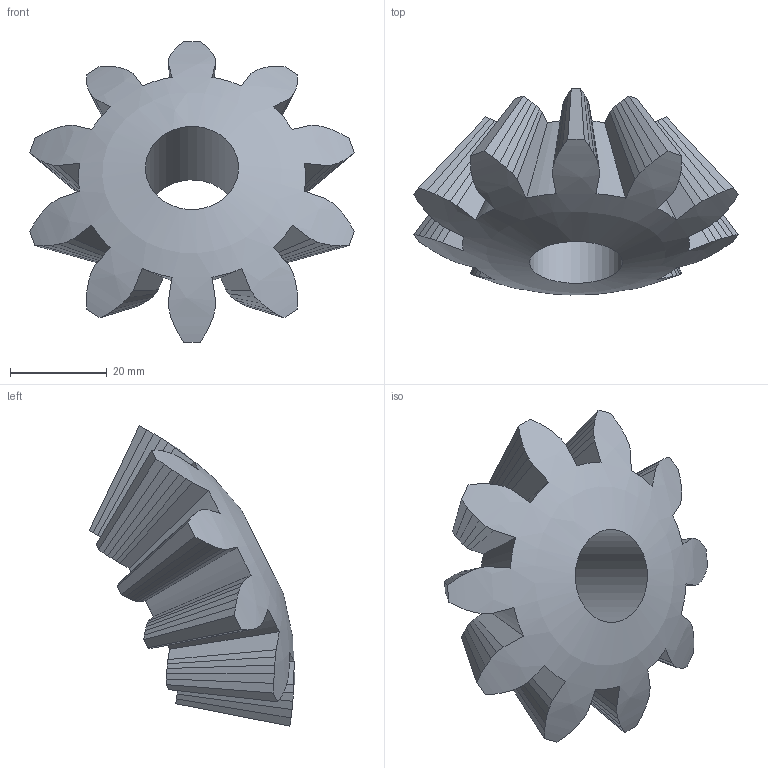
import cadquery as cq
import math

MODULE = 6.0
TEETH = 10
MATE_TEETH = 16
PRESSURE_ANGLE = 22.0
BACKLASH = 0.25
FACE_WIDTH = 24.0
BORE_DIAMETER = 19.2
AXIS_TILT = 26.6
ADDENDUM = 5.74
DEDENDUM = 1.25 * MODULE
FLANK_FACETS = 5

pitch_angle = math.atan(TEETH / MATE_TEETH)
outer_radius = MODULE * TEETH / 2 / math.sin(pitch_angle)
inner_radius = outer_radius - FACE_WIDTH
tip_angle = pitch_angle + math.atan(ADDENDUM / outer_radius)
root_angle = pitch_angle - math.atan(DEDENDUM / outer_radius)
base_angle = math.asin(math.cos(math.radians(PRESSURE_ANGLE)) * math.sin(pitch_angle))
tooth_pitch = 2 * math.pi / TEETH


def involute_angle(cone_angle):
    """Turn about the axis of a spherical involute between its base cone and the given cone."""
    rolled = math.acos(min(1.0, math.cos(cone_angle) / math.cos(base_angle))) / math.sin(base_angle)
    return rolled - math.acos(min(1.0, math.tan(base_angle) / math.tan(cone_angle)))


def half_tooth_angle(cone_angle):
    """Half of the angle a tooth takes up about the axis, radial below the base cone."""
    involute = involute_angle(max(cone_angle, base_angle))
    pitch_half_angle = tooth_pitch / 4 - BACKLASH / (MODULE * TEETH)
    return pitch_half_angle + involute_angle(pitch_angle) - involute


def flat_point(cone_angle, turn, height):
    """Point where a line from the apex crosses the plane at the given height on the axis."""
    radius = height * math.tan(cone_angle)
    return (radius * math.cos(turn), radius * math.sin(turn))


def gear_outline(workplane, height):
    """Closed outline of all teeth on the plane at the given height."""
    step = (tip_angle - base_angle) / FLANK_FACETS
    flank = [root_angle] + [base_angle + step * i for i in range(FLANK_FACETS + 1)]
    root_turn = half_tooth_angle(root_angle)
    outline = workplane.moveTo(*flat_point(root_angle, -root_turn, height))
    for tooth in range(TEETH):
        center = tooth * tooth_pitch
        for cone_angle in flank[1:]:
            outline = outline.lineTo(*flat_point(cone_angle, center - half_tooth_angle(cone_angle), height))
        for cone_angle in reversed(flank):
            outline = outline.lineTo(*flat_point(cone_angle, center + half_tooth_angle(cone_angle), height))
        middle = flat_point(root_angle, center + tooth_pitch / 2, height)
        next_root = flat_point(root_angle, center + tooth_pitch - root_turn, height)
        outline = outline.threePointArc(middle, next_root)
    return outline.close()


def toothed_cone():
    """Teeth that all taper toward the apex, longer at both ends than the finished gear."""
    low = inner_radius * math.cos(tip_angle) * 0.9
    high = outer_radius * 1.1
    small_end = gear_outline(cq.Workplane("XY").workplane(offset=low), low)
    return gear_outline(small_end.workplane(offset=high - low), high).loft(ruled=True)


def blank():
    """Spherical shell around the apex with the bore along its axis, a little wider than the teeth."""
    rim_angle = 1.1 * tip_angle
    bore_radius = BORE_DIAMETER / 2
    bore_start = math.asin(bore_radius / inner_radius)
    bore_end = math.asin(bore_radius / outer_radius)

    def shell_point(radius, cone_angle):
        return (radius * math.sin(cone_angle), radius * math.cos(cone_angle))

    section = (
        cq.Workplane("XZ")
        .moveTo(*shell_point(inner_radius, bore_start))
        .threePointArc(
            shell_point(inner_radius, (bore_start + rim_angle) / 2),
            shell_point(inner_radius, rim_angle),
        )
        .lineTo(*shell_point(outer_radius, rim_angle))
        .threePointArc(
            shell_point(outer_radius, (bore_end + rim_angle) / 2),
            shell_point(outer_radius, bore_end),
        )
        .close()
    )
    return section.revolve(360, (0, 0, 0), (0, 1, 0))


seam_turn = math.degrees(0.4 * tooth_pitch)
gear = toothed_cone().intersect(blank().rotate((0, 0, 0), (0, 0, 1), seam_turn))

result = gear.rotate((0, 0, 0), (0, 0, 1), 90).rotate((0, 0, 0), (1, 0, 0), 90 - AXIS_TILT)